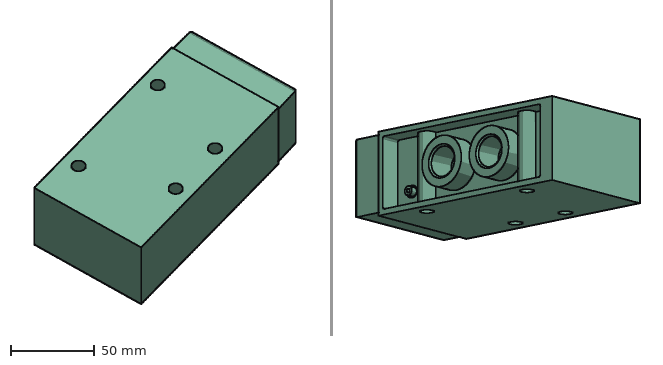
import cadquery as cq

width = 80.0
height = 52.0
total_length = 159.0
body_length = 139.1

cap_root_width = 79.7
cap_end_width = 78.9
cap_height = 48.0
cap_rounding = 2.5

pocket_start = 9.5
pocket_end = 135.6
pocket_height = 45.0
pocket_depth = 13.7
pocket_corner = 1.3

pattern_y = 70.0
hole_diameter = 8.6
hole_inset = 11.1
wide_spacing = 80.1
narrow_spacing = 39.9
column_diameter = 11.0

port_spacing = 37.8
port_diameter = 31.5
port_bore = 18.6
port_mouth = 21.0
port_recess = 0.5
port_bore_depth = 19.1

pin_y = 124.3
pin_z = -11.0
pin_diameter = 5.7
pin_bore = 2.4
pin_length = 3.3
countersink_diameter = 7.8


def cylinder_x(diameter, x_start, x_end, y, z=0):
    """Cylinder along X."""
    return (
        cq.Workplane("YZ", origin=(x_start, y, z))
        .circle(diameter / 2)
        .extrude(x_end - x_start)
    )


def cone_x(mouth, root, x_start, y, z=0):
    """Cone along +X with a 45 degree wall, narrowing from mouth to root diameter."""
    depth = (mouth - root) / 2
    return (
        cq.Workplane("YZ", origin=(x_start, y, z))
        .circle(mouth / 2)
        .workplane(offset=depth)
        .circle(root / 2)
        .loft()
    )


def cylinders_z(diameter, z_size, points):
    """Vertical cylinders centred on the mid height."""
    return (
        cq.Workplane("XY", origin=(0, 0, -z_size / 2))
        .pushPoints(points)
        .circle(diameter / 2)
        .extrude(z_size)
    )


def spaced_pair(spacing):
    """Two Y positions symmetric about the hole pattern centre."""
    return [pattern_y - spacing / 2, pattern_y + spacing / 2]


column_points = [(hole_inset, y) for y in spaced_pair(wide_spacing)]
plain_points = [(width - hole_inset, y) for y in spaced_pair(narrow_spacing)]

result = cq.Workplane("XY").box(width, body_length, height).translate((width / 2, body_length / 2, 0))

cap = (
    cq.Workplane("XY", origin=(width / 2, 0, -cap_height / 2))
    .polyline([
        (-cap_root_width / 2, body_length),
        (cap_root_width / 2, body_length),
        (cap_end_width / 2, total_length),
        (-cap_end_width / 2, total_length),
    ])
    .close()
    .extrude(cap_height)
    .faces(">Y")
    .edges()
    .fillet(cap_rounding)
)
result = result.union(cap)

pocket = (
    cq.Workplane("YZ", origin=(0, (pocket_start + pocket_end) / 2, 0))
    .rect(pocket_end - pocket_start, pocket_height)
    .extrude(pocket_depth)
    .edges("|X")
    .fillet(pocket_corner)
)
result = result.cut(pocket)

result = result.union(cylinders_z(column_diameter, pocket_height, column_points))

for port_y in spaced_pair(port_spacing):
    result = result.union(cylinder_x(port_diameter, port_recess, pocket_depth, port_y))
    result = result.cut(cylinder_x(port_bore, port_recess, port_recess + port_bore_depth, port_y))
    result = result.cut(cone_x(port_mouth, port_bore, port_recess, port_y))

result = result.cut(cylinders_z(hole_diameter, height, column_points + plain_points))

countersink_depth = (countersink_diameter - pin_diameter) / 2
pin_tip = pocket_depth - pin_length
pin_root = pocket_depth + countersink_depth
result = result.cut(cone_x(countersink_diameter, pin_diameter, pocket_depth, pin_y, pin_z))
result = result.union(cylinder_x(pin_diameter, pin_tip, pin_root, pin_y, pin_z))
result = result.cut(cylinder_x(pin_bore, pin_tip, pocket_depth, pin_y, pin_z))